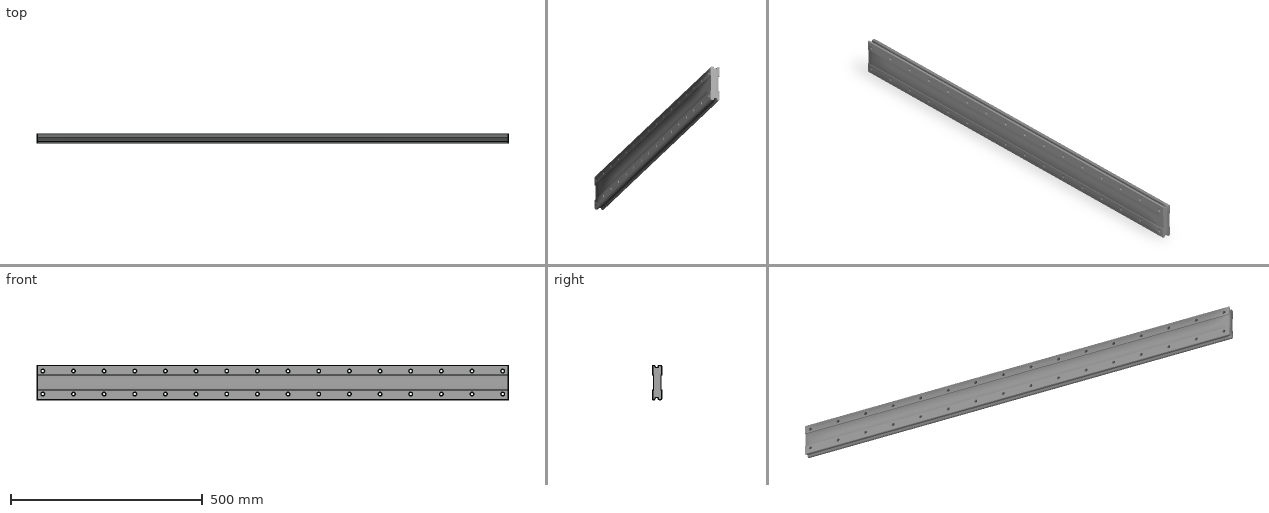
import cadquery as cq
import math

LENGTH = 1230.0
WIDTH = 24.0
HEIGHT = 90.0

WAIST_WIDTH = 20.0
WAIST_HEIGHT = 40.0

BEAD_WIDTH = 10.0
BEAD_RADIUS = 4.25
GROOVE_DEPTH = 5.5
LIP_TOP_WIDTH = 3.5
LIP_CHAMFER = 1.0
LIP_SLOPE = math.radians(60)

HOLE_DIAMETER = 9.0
HOLE_PITCH = 80.0
HOLES_PER_ROW = 16
ROW_SPACING = 60.0


def rail_body():
    """Whole length of the rail, with the same head above and below its middle plane."""
    top = HEIGHT / 2
    back = WIDTH / 2
    front = -back
    waist_side = WAIST_WIDTH / 2
    waist_top = WAIST_HEIGHT / 2
    bead_front = back - BEAD_WIDTH
    floor = top - GROOVE_DEPTH
    lip_front = front + LIP_CHAMFER
    lip_back = lip_front + LIP_TOP_WIDTH
    lip_foot = lip_back + GROOVE_DEPTH / math.tan(LIP_SLOPE)
    round_start = top - BEAD_RADIUS

    upper_half = (
        cq.Workplane("YZ", origin=(-LENGTH / 2, 0, 0))
        .moveTo(waist_side, 0)
        .lineTo(waist_side, waist_top)
        .lineTo(back, waist_top)
        .lineTo(back, round_start)
        .tangentArcPoint((back - BEAD_RADIUS, top), relative=False)
        .lineTo(bead_front + BEAD_RADIUS, top)
        .tangentArcPoint((bead_front, round_start), relative=False)
        .lineTo(bead_front, floor)
        .lineTo(lip_foot, floor)
        .lineTo(lip_back, top)
        .lineTo(lip_front, top)
        .lineTo(front, top - LIP_CHAMFER)
        .lineTo(front, waist_top)
        .lineTo(-waist_side, waist_top)
        .lineTo(-waist_side, 0)
        .close()
        .extrude(LENGTH)
    )
    return upper_half.union(upper_half.mirror("XY")).clean()


def mounting_holes():
    """Plain round cutters that pass right through both rail heads."""
    return (
        cq.Workplane("XZ", origin=(0, WIDTH / 2, 0))
        .rarray(HOLE_PITCH, ROW_SPACING, HOLES_PER_ROW, 2)
        .circle(HOLE_DIAMETER / 2)
        .extrude(WIDTH)
    )


result = rail_body().cut(mounting_holes())